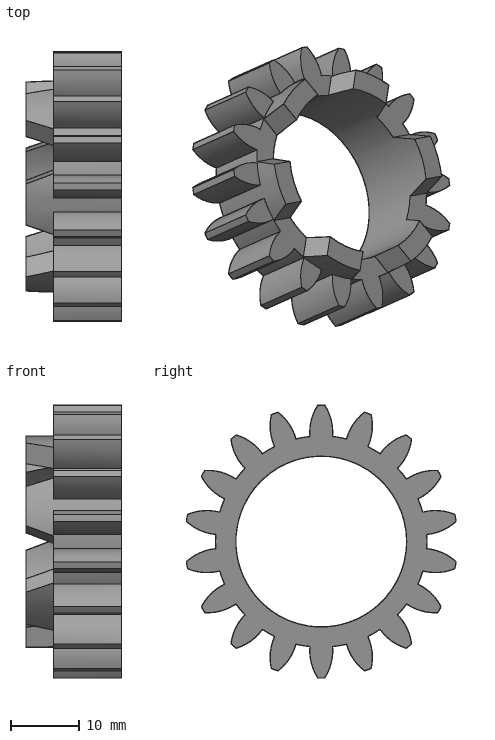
import cadquery as cq
import math

tooth_count = 18
gear_width = 10.0
outer_radius = 40.0 / 2
pitch_radius = 36.0 / 2
root_radius = 31.0 / 2
bore_radius = 25.0 / 2

half_root = 1.7
half_pitch = 1.45
half_tip = 0.5

dog_count = 6
dog_height = 4.0
dog_tip_width = 6.1
dog_flank_angle = 20.0
first_dog_angle = 10.0


def height_on_circle(radius, half_width):
    """Height of the point on a circle that lies half_width off the centre line."""
    return math.sqrt(radius**2 - half_width**2)


def turned_about_axis(shape, angle):
    """The shape turned about X; a positive angle carries +Z towards -Y."""
    return shape.rotate((0, 0, 0), (1, 0, 0), angle)


def make_tooth():
    """One tooth centred on +Z, with arc flanks and a tip on the outer circle."""
    foot_z = (bore_radius + root_radius) / 2
    root_z = height_on_circle(root_radius, half_root)
    pitch_z = height_on_circle(pitch_radius, half_pitch)
    tip_z = height_on_circle(outer_radius, half_tip)
    return (
        cq.Workplane("YZ")
        .moveTo(-half_root, foot_z)
        .lineTo(-half_root, root_z)
        .threePointArc((-half_pitch, pitch_z), (-half_tip, tip_z))
        .threePointArc((0, outer_radius), (half_tip, tip_z))
        .threePointArc((half_pitch, pitch_z), (half_root, root_z))
        .lineTo(half_root, foot_z)
        .close()
        .extrude(gear_width)
    )


def make_dog():
    """One dog centred on +Z: a trapezoid that narrows towards -X, parallel along Z."""
    half_top = dog_tip_width / 2
    half_base = half_top + dog_height * math.tan(math.radians(dog_flank_angle))
    profile = [
        (0, -half_base),
        (-dog_height, -half_top),
        (-dog_height, half_top),
        (0, half_base),
    ]
    return (
        cq.Workplane("XY")
        .polyline(profile)
        .close()
        .extrude(outer_radius)
    )


def make_ring(start_x, length):
    """Plain ring between the bore and root cylinders, running towards +X."""
    return (
        cq.Workplane("YZ", origin=(start_x, 0, 0))
        .circle(root_radius)
        .circle(bore_radius)
        .extrude(length)
    )


gear = make_ring(0, gear_width)
tooth = make_tooth()
for index in range(tooth_count):
    gear = gear.union(turned_about_axis(tooth, index * 360 / tooth_count))

dog_ring = make_ring(-dog_height, dog_height)
dog = make_dog()
for index in range(dog_count):
    dog_angle = first_dog_angle + index * 360 / dog_count
    gear = gear.union(dog_ring.intersect(turned_about_axis(dog, dog_angle)))

result = gear